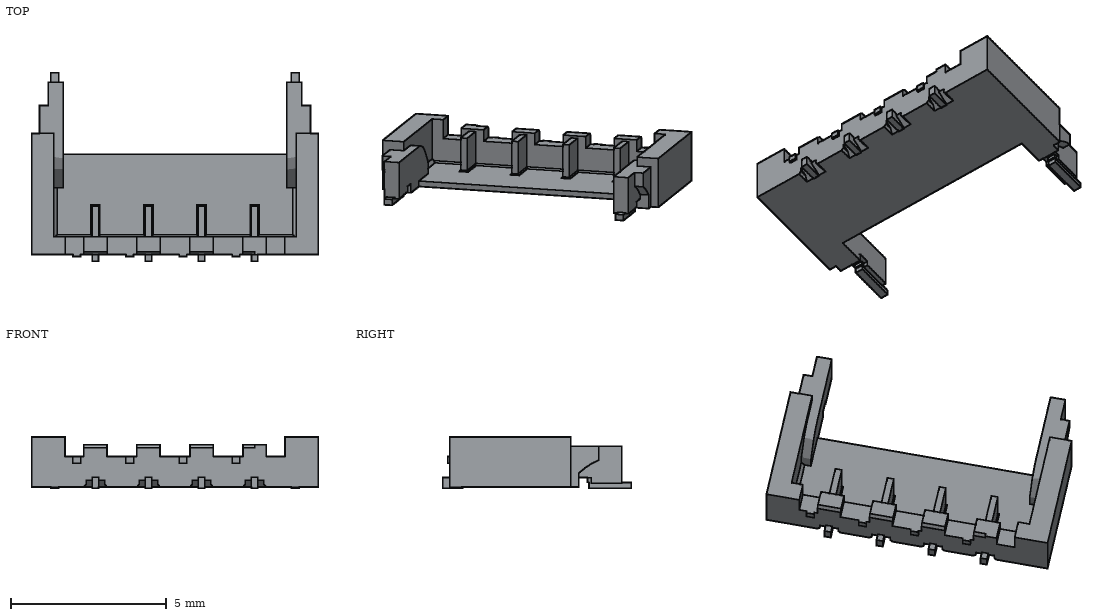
import cadquery as cq
import math

length = 9.2
body_height = 1.61
arm_depth = 3.89
arm_width = 0.71
front_wall = 0.58
floor_depth = 3.22
floor_thickness = 0.18
floor_flare = 0.055
side_flare = 0.11
cavity_half = length / 2 - arm_width

contact_count = 4
pitch = 1.7
contact_places = [(i - (contact_count - 1) / 2) * pitch for i in range(contact_count)]
notch_half = 3.52
notch_floor = 0.98
merlon_width = 0.75
merlon_top = 1.36
merlon_bevel_height = 0.09
merlon_bevel_depth = 0.09
nub_width = 0.25
nub_height = 0.22
nub_projection = 0.06
nub_offset = 0.6

contact_width = 0.21
pin_projection = 0.22
pin_top = 0.31
foot_drop = 0.04
pin_inner_end = 0.42
rib_end = 1.555
rib_top = 1.29
rib_flare = 0.041
recess_width = 0.6
recess_mouth_width = 0.745
recess_mouth_height = 0.09
recess_height = 0.22
recess_depth = 0.42

plate_inner = 3.58
plate_outer = 4.07
shoulder_outer = 4.35
plate_top = 1.32
plate_front = 2.14
plate_back = 5.53
plate_tail_bottom = 0.12
gap_top = 0.3
gap_front = 4.15
gap_back = 4.545
nose_radius = 0.96
nose_angle = math.radians(50)
nose_slope_drop = 0.34
shoulder_back = 4.78
shoulder_arc_top = 0.865
shoulder_arc_middle = (4.45, 0.69)
shoulder_arc_bottom = 0.45
foot_inner = 3.73
foot_outer = 3.99
foot_front = 4.47
foot_back = 5.83
foot_top = 0.16
tab_front = 4.425
tab_back = 4.55


def box(x0, x1, y0, y1, z0, z1):
    """Axis-aligned block between two opposite corners."""
    return cq.Workplane("XY").box(x1 - x0, y1 - y0, z1 - z0, centered=False).translate((x0, y0, z0))


def side_profile(x0):
    """Sketch plane at X = x0 with local coordinates (Y, Z), extruding toward +X."""
    return cq.Workplane("YZ", origin=(x0, 0, 0))


def housing():
    """U-shaped shell: floor, front wall and two side arms with sloped inner feet."""
    half = length / 2
    body = box(-half, half, 0, front_wall, 0, body_height)
    body = body.union(box(-half, half, 0, floor_depth, 0, floor_thickness))
    for side in (-1, 1):
        x0, x1 = sorted((side * cavity_half, side * half))
        body = body.union(box(x0, x1, 0, arm_depth, 0, body_height))
        flare = (
            cq.Workplane("XZ", origin=(side * cavity_half, 0, floor_thickness))
            .polyline([(0, 0), (-side * side_flare, 0), (0, side_flare)])
            .close()
            .extrude(-floor_depth)
        )
        body = body.union(flare)
    wall_flare = (
        side_profile(-cavity_half)
        .polyline([
            (front_wall, floor_thickness),
            (front_wall + floor_flare, floor_thickness),
            (front_wall, floor_thickness + floor_flare),
        ])
        .close()
        .extrude(2 * cavity_half)
    )
    return body.union(wall_flare)


def merlon(x, bevel_end):
    """Raised block on the front wall, its front top edge bevelled as far as X = bevel_end."""
    left = x - merlon_width / 2
    block = box(left, x + merlon_width / 2, 0, front_wall, notch_floor, merlon_top)
    bevel = (
        side_profile(left)
        .polyline([
            (0, merlon_top),
            (merlon_bevel_depth, merlon_top),
            (0, merlon_top - merlon_bevel_height),
        ])
        .close()
        .extrude(bevel_end - left)
    )
    return block.cut(bevel)


def nub(x):
    """Small lug on the front face, just below the notch floor."""
    centre = x - nub_offset
    return box(centre - nub_width / 2, centre + nub_width / 2, -nub_projection, front_wall / 2,
               notch_floor - nub_height, notch_floor)


def pin_recess(x):
    """Relief around a pin: its roof slopes from the front face down to the underside."""
    outline = (
        cq.Workplane("XZ", origin=(x, 0, 0))
        .polyline([
            (-recess_mouth_width / 2, 0),
            (-recess_width / 2, recess_mouth_height),
            (-recess_width / 2, recess_height),
            (recess_width / 2, recess_height),
            (recess_width / 2, recess_mouth_height),
            (recess_mouth_width / 2, 0),
        ])
        .close()
        .extrude(-recess_depth)
    )
    wedge = (
        side_profile(x - recess_mouth_width / 2)
        .polyline([(0, 0), (0, recess_height), (recess_depth, 0)])
        .close()
        .extrude(recess_mouth_width)
    )
    return outline.intersect(wedge)


def contact(x):
    """Solder pin through the front wall and the upright rib behind it with a flared foot."""
    half = contact_width / 2
    pin = box(x - half, x + half, -pin_projection, pin_inner_end, -foot_drop, pin_top)
    rib = box(x - half, x + half, front_wall / 2, rib_end, 0, rib_top)
    foot_start = front_wall / 2
    foot_end = rib_end + rib_flare
    foot = (
        cq.Workplane("XY", origin=(x, (foot_start + foot_end) / 2, floor_thickness))
        .rect(contact_width + 2 * rib_flare, foot_end - foot_start)
        .extrude(rib_flare, taper=45)
    )
    return pin.union(rib).union(foot)


def side_fitting():
    """Plate with a rounded nose, a shoulder outside it and a solder foot, on the +X side."""
    nose_end = (
        floor_depth - nose_radius * math.sin(nose_angle),
        plate_top - nose_radius * (1 - math.cos(nose_angle)),
    )
    nose_middle = (
        floor_depth - nose_radius * math.sin(nose_angle / 2),
        plate_top - nose_radius * (1 - math.cos(nose_angle / 2)),
    )
    slope_end_y = nose_end[0] - nose_slope_drop / math.tan(nose_angle)
    slope_end_z = nose_end[1] - nose_slope_drop
    toe_radius = (slope_end_y - plate_front) / (1 - math.sin(nose_angle))

    def toe_point(steepness):
        """Point (Y, Z) on the toe arc where its tangent dips by the given angle."""
        return (
            plate_front + toe_radius * (1 - math.sin(steepness)),
            slope_end_z - toe_radius * (math.cos(nose_angle) - math.cos(steepness)),
        )

    plate = (
        side_profile(plate_inner)
        .moveTo(plate_back, plate_top)
        .lineTo(floor_depth, plate_top)
        .threePointArc(nose_middle, nose_end)
        .lineTo(slope_end_y, slope_end_z)
        .threePointArc(toe_point(nose_angle / 2 + math.pi / 4), toe_point(math.pi / 2))
        .lineTo(plate_front, 0)
        .lineTo(gap_front, 0)
        .lineTo(gap_front, gap_top)
        .lineTo(gap_back, gap_top)
        .lineTo(gap_back, plate_tail_bottom)
        .lineTo(plate_back, plate_tail_bottom)
        .close()
        .extrude(plate_outer - plate_inner)
    )
    shoulder = (
        side_profile(plate_outer)
        .moveTo(arm_depth, 0)
        .lineTo(gap_front, 0)
        .lineTo(gap_front, shoulder_arc_bottom)
        .threePointArc(shoulder_arc_middle, (shoulder_back, shoulder_arc_top))
        .lineTo(shoulder_back, plate_top)
        .lineTo(arm_depth, plate_top)
        .close()
        .extrude(shoulder_outer - plate_outer)
    )
    foot = box(foot_inner, foot_outer, foot_front, foot_back, -foot_drop, foot_top)
    tab = box(foot_inner, foot_outer, tab_front, tab_back, foot_top, gap_top)
    return plate.union(shoulder).union(foot).union(tab)


result = housing().cut(box(-notch_half, notch_half, 0, front_wall, notch_floor, body_height))

for place in contact_places:
    bevel_stop = place if place == contact_places[-1] else place + merlon_width / 2
    result = result.union(merlon(place, bevel_stop)).union(nub(place))
    result = result.cut(pin_recess(place)).union(contact(place))

fitting = side_fitting()
result = result.union(fitting).union(fitting.mirror("YZ"))